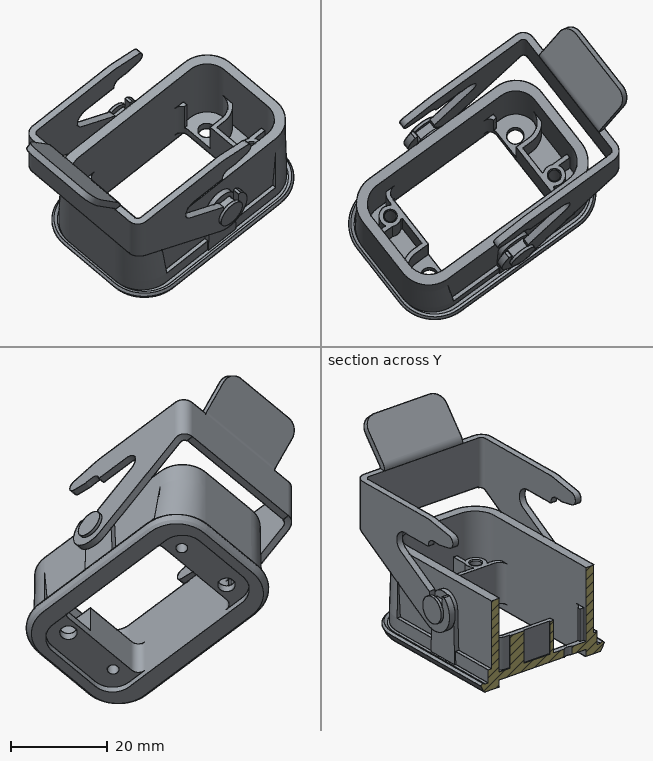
import cadquery as cq
import math


flange_half_x = 16.25
flange_half_y = 24.2
flange_corner = 9.0
flange_top = 2.3
flange_widest = 1.8
flange_knee = 0.6
knee_inset = 0.6
foot_inset = 1.1
ridge_inset = 0.45
ridge_width = 0.7
ridge_drop = 0.35

housing_top = 20.6
upper_half_x = 13.5
upper_corner = 6.7
lower_half_x = 14.35
lower_corner = 7.5
body_half_y = 23.1
ledge_height = 4.95
taper_top = 15.5
wall = 2.15
cavity_half_x = upper_half_x - wall
cavity_half_y = body_half_y - wall
cavity_corner = 4.95

seat_bottom = 1.6
seat_top = 11.05
pocket_floor = 3.6
window_half_y = 13.5
window_corner = 1.9
web = 1.0
hole_x = 6.7
hole_y = 16.15
clearance_hole_radius = 1.8
screw_hole_radius = 1.2
screw_hole_chamfer = 0.25
screw_boss_radius = 2.3
screw_boss_foot_half = 1.9
screw_rib_x = 4.6
pad_edge_x = -2.9
pad_corner = 4.2
post_edge_x = -10.3
post_edge_y = 14.0

pin_z = 13.95
pad_face_x = 14.65
pivot_pad_radius = 3.5
pivot_foot_half = 4.0
shaft_radius = 2.55
shaft_flat = 1.55
head_radius = 3.05
overall_width = 35.0
head_face_x = overall_width / 2

sheet = 1.5
lever_half_x = 16.85
lever_back_y = -26.45
lever_top = 33.95
back_plate_bottom = 22.65
lever_bend = 2.5
arm_slope = math.radians(30)
hook_radius = 5.0
hook_tip_z = 17.8
slot_edge_y = -1.75
throat = (-10.05, 25.1)
throat_radius = 2.55
nose = (4.65, 31.35)
nose_radius = 1.45
nose_slope = math.radians(10)
finger_bend_y = -1.8
finger_bend_reach = 0.85
finger_heel_y = 1.6
finger_heel_end_y = 0.8
notch_y = -0.5
notch_top = 29.45
notch_radius = 1.5
notch_lip = 0.1

tab_half_x = 10.25
tab_slope = math.radians(49.5)
tab_end_y = -33.45
tab_top = 43.4
tab_bend = 1.05
tab_corner = 3.05


def block(x0, x1, y0, y1, z0, z1):
    """Axis-aligned box between two opposite corners."""
    return cq.Workplane("XY").box(x1 - x0, y1 - y0, z1 - z0, centered=False).translate((x0, y0, z0))


def rounded(half_x, half_y, corner, z0, z1):
    """Centred upright prism with rounded corners."""
    return block(-half_x, half_x, -half_y, half_y, z0, z1).edges("|Z").fillet(corner)


def cylinder(x, y, radius, z0, z1):
    """Upright cylinder."""
    return cq.Workplane("XY", origin=(x, y, z0)).circle(radius).extrude(z1 - z0)


def on_circle(centre, radius, degrees):
    """Point on a circle at an angle from the first axis."""
    angle = math.radians(degrees)
    return (centre[0] + radius * math.cos(angle), centre[1] + radius * math.sin(angle))


def rounded_wire(half_x, half_y, corner, z):
    """Centred rounded rectangle, as a wire at height z."""
    return rounded(half_x, half_y, corner, z, z + 0.6).faces("<Z").wires().val()


def loft(lower, upper):
    """Ruled solid between two outlines, each (half_x, half_y, corner, z)."""
    return cq.Workplane(cq.Solid.makeLoft([rounded_wire(*lower), rounded_wire(*upper)], True))


def make_flange():
    def outline(inset, z):
        return (flange_half_x - inset, flange_half_y - inset, flange_corner - inset, z)

    foot = outline(foot_inset, 0)
    knee = outline(knee_inset, flange_knee)
    widest = outline(0, flange_widest)
    ridge = outline(ridge_inset, flange_top)
    valley = outline(ridge_inset + ridge_width, flange_top - ridge_drop)
    flange = loft(foot, knee).union(loft(knee, widest)).union(loft(widest, ridge))
    return flange.cut(loft(valley, ridge))


def make_body():
    lower = (lower_half_x, body_half_y, lower_corner)
    upper = (upper_half_x, body_half_y, upper_corner)
    base = rounded(*lower, 0, ledge_height)
    flare = loft((*lower, ledge_height), (*upper, taper_top))
    recess_foot = body_half_y - lower_corner
    recess_top = body_half_y - upper_corner
    recess = (
        cq.Workplane("YZ")
        .polyline([(-recess_foot, ledge_height), (recess_foot, ledge_height),
                   (recess_top, taper_top), (-recess_top, taper_top)])
        .close()
        .extrude(lower_half_x, both=True)
    )
    core = block(-upper_half_x, upper_half_x, -body_half_y, body_half_y, 0, housing_top)
    flare = flare.cut(recess.cut(core))
    return base.union(flare).union(rounded(*upper, 0, housing_top))


def make_seat():
    """Insert seat at the +Y end: a slab with pockets, a screw boss and a clearance hole."""
    reach_x = cavity_half_x + wall / 2
    reach_y = cavity_half_y + wall / 2
    window = rounded(cavity_half_x, window_half_y, window_corner, seat_bottom, seat_top)
    window_rim = rounded(
        cavity_half_x + web, window_half_y + web, window_corner + web, pocket_floor, seat_top
    )
    end = block(-reach_x, reach_x, 0, reach_y, seat_bottom, seat_top)
    seat = end.cut(window)

    pad_pocket = (
        block(-reach_x, pad_edge_x, 0, cavity_half_y, pocket_floor, seat_top)
        .edges("|Z and >X and >Y").fillet(pad_corner)
        .cut(block(-reach_x, post_edge_x, 0, post_edge_y, pocket_floor, seat_top))
    )
    pad_rim = (
        block(-reach_x, pad_edge_x + web, 0, cavity_half_y + web, pocket_floor, seat_top)
        .edges("|Z and >X and >Y").fillet(pad_corner + web)
    )
    screw_rib = block(screw_rib_x, screw_rib_x + web, hole_y, reach_y, pocket_floor, seat_top)
    screw_boss = cylinder(hole_x, hole_y, screw_boss_radius, pocket_floor, seat_top)
    boss_foot = block(
        hole_x - screw_boss_foot_half, hole_x + screw_boss_foot_half,
        window_half_y, hole_y, pocket_floor, seat_top,
    )
    pockets = block(-reach_x, reach_x, 0, reach_y, pocket_floor, seat_top)
    for rib in (window_rim, pad_rim, screw_rib, screw_boss, boss_foot):
        pockets = pockets.cut(rib)
    seat = seat.cut(pockets).cut(pad_pocket)

    seat = seat.cut(cylinder(-hole_x, hole_y, clearance_hole_radius, seat_bottom, seat_top))
    screw_hole = cylinder(hole_x, hole_y, screw_hole_radius, seat_bottom, seat_top)
    countersink = (
        cq.Workplane("XY", origin=(hole_x, hole_y, seat_top))
        .circle(screw_hole_radius + screw_hole_chamfer)
        .workplane(offset=-screw_hole_chamfer)
        .circle(screw_hole_radius)
        .loft()
    )
    seat = seat.cut(screw_hole).cut(countersink)
    cavity_outline = rounded(cavity_half_x, cavity_half_y, cavity_corner, seat_bottom, seat_top)
    return seat.intersect(cavity_outline)


def make_pivot():
    """Pad, flatted shaft and head on the +X side."""
    root_x = upper_half_x - wall / 2

    def disc(radius, x0, x1):
        return cq.Workplane("YZ", origin=(x0, 0, 0)).center(0, pin_z).circle(radius).extrude(x1 - x0)

    pad_foot = (
        cq.Workplane("YZ", origin=(root_x, 0, 0))
        .polyline([(-pivot_foot_half, flange_widest), (pivot_foot_half, flange_widest),
                   (pivot_pad_radius, pin_z), (-pivot_pad_radius, pin_z)])
        .close()
        .extrude(pad_face_x - root_x)
    )
    above_flat = block(
        pad_face_x, lever_half_x, -shaft_radius, shaft_radius, pin_z + shaft_flat, pin_z + shaft_radius
    )
    shaft = disc(shaft_radius, pad_face_x, lever_half_x).cut(above_flat)
    pad = disc(pivot_pad_radius, root_x, pad_face_x).union(pad_foot)
    return pad.union(shaft).union(disc(head_radius, lever_half_x, head_face_x))


def lever_side_profile():
    """Side outline of the lever, swept across the full width."""
    pin = (0, pin_z)
    slope_degrees = math.degrees(nose_slope)
    below_arm = 270 - math.degrees(arm_slope)
    bend_end = (
        finger_bend_y + finger_bend_reach * math.cos(nose_slope),
        lever_top - finger_bend_reach * math.sin(nose_slope),
    )
    nose_foot = on_circle(nose, nose_radius, slope_degrees - 90)
    heel_z = nose_foot[1] - (nose_foot[0] - finger_heel_y) * math.tan(nose_slope)
    notch = (notch_y, notch_top - notch_radius)
    throat_top = throat[1] + throat_radius
    throat_end = on_circle(throat, throat_radius, below_arm)
    slot_top = throat_end[1] - (slot_edge_y - throat_end[0]) * math.tan(arm_slope)
    hook_tip_angle = math.asin((hook_tip_z - pin_z) / hook_radius)
    hook_middle = (math.degrees(hook_tip_angle) + below_arm - 360) / 2
    hook_tip_y = hook_radius * math.cos(hook_tip_angle)
    arm_start = on_circle(pin, hook_radius, below_arm)
    arm_end_y = lever_back_y + lever_bend
    arm_end_z = arm_start[1] + (arm_start[0] - arm_end_y) * math.tan(arm_slope)
    return (
        cq.Workplane("YZ")
        .moveTo(lever_back_y, lever_top)
        .lineTo(finger_bend_y - finger_bend_reach, lever_top)
        .tangentArcPoint(bend_end, relative=False)
        .lineTo(*on_circle(nose, nose_radius, 90 - slope_degrees))
        .threePointArc(on_circle(nose, nose_radius, 0), nose_foot)
        .lineTo(finger_heel_y, heel_z)
        .lineTo(finger_heel_end_y, notch_top)
        .lineTo(notch_y, notch_top)
        .threePointArc(on_circle(notch, notch_radius, 135), on_circle(notch, notch_radius, 180))
        .lineTo(notch_y - notch_radius - notch_lip, throat_top)
        .lineTo(throat[0], throat_top)
        .threePointArc(on_circle(throat, throat_radius, (90 + below_arm) / 2), throat_end)
        .lineTo(slot_edge_y, slot_top)
        .lineTo(slot_edge_y, pin_z)
        .lineTo(shaft_radius, pin_z)
        .lineTo(shaft_radius, hook_tip_z)
        .lineTo(hook_tip_y, hook_tip_z)
        .threePointArc(on_circle(pin, hook_radius, hook_middle), arm_start)
        .lineTo(arm_end_y, arm_end_z)
        .tangentArcPoint((lever_back_y, back_plate_bottom), relative=False)
        .close()
        .extrude(lever_half_x, both=True)
    )


def make_lever():
    """U-shaped strip of bent sheet, trimmed to the side outline."""
    front_y = nose[0] + nose_radius
    inner_half_x = lever_half_x - sheet
    outside = block(
        -lever_half_x, lever_half_x, lever_back_y, front_y, 0, lever_top
    ).edges("|Z and <Y").fillet(lever_bend)
    inside = block(
        -inner_half_x, inner_half_x, lever_back_y + sheet, front_y, 0, lever_top
    ).edges("|Z and <Y").fillet(lever_bend - sheet)
    flat_half_x = lever_half_x - lever_bend
    below_plate = block(
        -flat_half_x, flat_half_x, lever_back_y, lever_back_y + lever_bend, 0, back_plate_bottom
    )
    return outside.cut(inside).intersect(lever_side_profile()).cut(below_plate)


def make_tab():
    """Thumb tab bent outwards from the top of the back plate."""
    outer_end = (tab_end_y, tab_top - sheet * math.cos(tab_slope))
    inner_end = (tab_end_y + sheet * math.sin(tab_slope), tab_top)
    bend_angle = math.pi / 2 - tab_slope
    outer_bend_z = outer_end[1] - (lever_back_y - tab_end_y) * math.tan(tab_slope)
    inner_bend_z = outer_bend_z + sheet * math.tan(bend_angle / 2)
    root_z = lever_top - sheet
    tab = (
        cq.Workplane("YZ")
        .polyline([(lever_back_y, root_z), (lever_back_y, outer_bend_z), outer_end, inner_end,
                   (lever_back_y + sheet, inner_bend_z), (lever_back_y + sheet, root_z)])
        .close()
        .extrude(tab_half_x, both=True)
    )

    def bend_edge(y, z):
        return cq.selectors.NearestToPointSelector((0, y, z))

    tab = tab.edges(bend_edge(lever_back_y, outer_bend_z)).fillet(tab_bend)
    tab = tab.edges(bend_edge(lever_back_y + sheet, inner_bend_z)).fillet(tab_bend + sheet)
    end_y = (outer_end[0] + inner_end[0]) / 2
    end_z = (outer_end[1] + inner_end[1]) / 2
    for side in (-1, 1):
        tab = tab.edges(
            cq.selectors.NearestToPointSelector((side * tab_half_x, end_y, end_z))
        ).fillet(tab_corner)
    return tab


cavity = rounded(cavity_half_x, cavity_half_y, cavity_corner, 0, housing_top)
pivot = make_pivot()
housing = make_flange().union(make_body()).union(pivot).union(pivot.mirror("YZ")).cut(cavity)

seat = make_seat()
for turn in (0, 180):
    housing = housing.union(seat.rotate((0, 0, 0), (0, 0, 1), turn))

result = housing.union(make_lever()).union(make_tab())